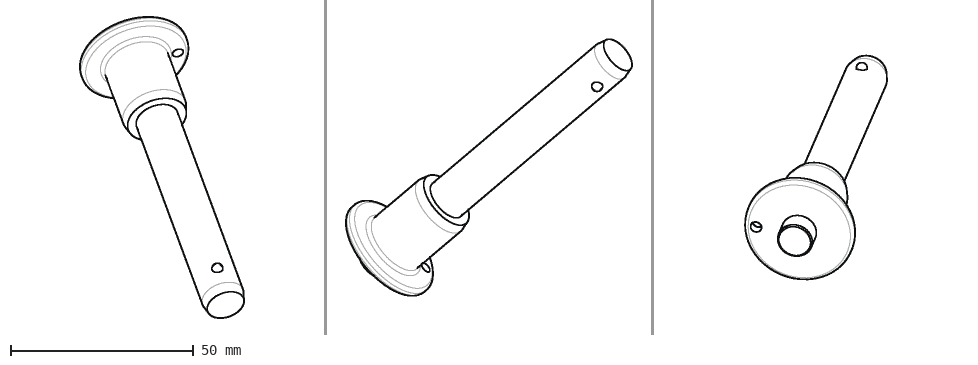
import cadquery as cq

TOTAL_LENGTH = 101.0
TAPER_DROP = 0.7

BUTTON_RADIUS = 4.8
BUTTON_LENGTH = 6.0
BUTTON_EDGE_CHAMFER = 0.4

FLANGE_DIAMETER = 30.6
FLANGE_THICKNESS = 3.0
FLANGE_EDGE_RADIUS = 1.0
COLLAR_RADIUS = 9.1
COLLAR_FILLET = 1.0
COLLAR_END_X = 30.8
COLLAR_TAPER_LENGTH = 2.7

LANYARD_HOLE_DIAMETER = 3.0
LANYARD_HOLE_OFFSET = 12.0

SHANK_RADIUS = 6.0
SHANK_TAPER_LENGTH = 3.0

BALL_RADIUS = 1.5
BALL_PROTRUSION = 1.3
BALL_DISTANCE_FROM_TIP = 8.5

FLANGE_BACK_X = BUTTON_LENGTH + FLANGE_THICKNESS
BALL_X = TOTAL_LENGTH - BALL_DISTANCE_FROM_TIP
BALL_CENTRE_Z = SHANK_RADIUS + BALL_PROTRUSION - BALL_RADIUS


def cylinder(start_x, end_x, radius):
    """Cylinder around the X axis between two stations."""
    return cq.Workplane("YZ", origin=(start_x, 0, 0)).circle(radius).extrude(end_x - start_x)


def revolved_taper(start_x, end_x, radius, taper_length):
    """Round bar along X whose +X end is tapered."""
    end_radius = radius - TAPER_DROP
    profile = (
        cq.Workplane("XY")
        .moveTo(start_x, 0)
        .lineTo(start_x, radius)
        .lineTo(end_x - taper_length, radius)
        .lineTo(end_x, end_radius)
        .lineTo(end_x, 0)
        .close()
    )
    return profile.revolve(360, (0, 0, 0), (1, 0, 0))


def make_ball(side):
    """Locking ball on the +Z (side = 1) or -Z (side = -1) face of the shank."""
    return cq.Workplane("XY").sphere(BALL_RADIUS).translate((BALL_X, 0, side * BALL_CENTRE_Z))


def make_handle():
    """Flange with rounded rim, blended into the tapered collar."""
    flange = cylinder(BUTTON_LENGTH, FLANGE_BACK_X, FLANGE_DIAMETER / 2).edges().fillet(FLANGE_EDGE_RADIUS)
    collar = revolved_taper(FLANGE_BACK_X, COLLAR_END_X, COLLAR_RADIUS, COLLAR_TAPER_LENGTH)
    handle = flange.union(collar)
    reach = COLLAR_RADIUS + COLLAR_FILLET
    half_depth = COLLAR_FILLET / 2
    root_circle = cq.selectors.BoxSelector(
        (FLANGE_BACK_X - half_depth, -reach, -reach),
        (FLANGE_BACK_X + half_depth, reach, reach),
        boundingbox=True,
    )
    handle = handle.edges(root_circle).fillet(COLLAR_FILLET)
    hole = cylinder(BUTTON_LENGTH, FLANGE_BACK_X, LANYARD_HOLE_DIAMETER / 2)
    return handle.cut(hole.translate((0, LANYARD_HOLE_OFFSET, 0)))


def make_pin(balls):
    """Button, handle and shank in one piece, with a seat for each ball."""
    button = cylinder(0, BUTTON_LENGTH, BUTTON_RADIUS).faces("<X").edges().chamfer(BUTTON_EDGE_CHAMFER)
    shank = revolved_taper(FLANGE_BACK_X, TOTAL_LENGTH, SHANK_RADIUS, SHANK_TAPER_LENGTH)
    pin = make_handle().union(button).union(shank)
    for ball in balls:
        pin = pin.cut(ball)
    return pin


balls = [make_ball(side) for side in (1, -1)]
pin = make_pin(balls)

result = cq.Compound.makeCompound([pin.val(), *[ball.val() for ball in balls]])